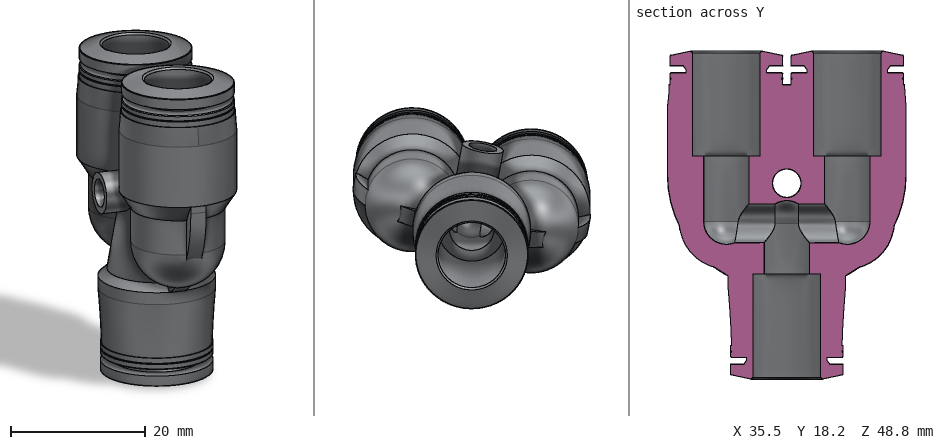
import cadquery as cq
import math

overall_height = 48.8
barrel_radius = 17.5 / 2
arm_offset = 9.0

button_radius = 16.8 / 2
neck_radius = 12.0 / 2
neck_flare = 0.45
bore_radius = 10.0 / 2
bore_chamfer = 0.3
button_crown = 0.65
button_edge = 0.1
button_depth = 2.25
flare_depth = 2.85
cap_depth = 3.2
cap_chamfer = 0.15
cap_groove_depth = 4.05
cap_groove_width = 0.15
cap_groove_cut = 0.15
cap_end_depth = 5.05
tube_stop_depth = 15.6

arm_barrel_mouth_radius = 8.55
arm_taper_end_z = 40.8
arm_shoulder_z = 31.4
arm_lower_top_z = 28.75
arm_lower_radius = 7.05
arm_dome_z = 23.4

lower_barrel_mouth_radius = 8.25
lower_barrel_middle_radius = 8.45
lower_taper_end_z = 13.5
lower_shoulder_z = 15.35
cone_base_z = 16.5
cone_base_radius = 7.4
cone_top_radius = 5.25

boss_z = 29.15
boss_radius = 6.2 / 2
boss_hole_radius = 4.2 / 2
boss_length = 18.2

web_thickness = 2.45
web_bend_z = 30.35

passage_radius = 6.7 / 2
cross_passage_radius = 5.7 / 2
cross_passage_z = 23.2


def revolve_z(profile):
    """Turn a closed (radius, z) outline a full turn about the Z axis."""
    return profile.close().revolve(360, (0, 0, 0), (0, 1, 0))


def port_end():
    """Button, neck and cap of a port whose mouth lies at z = 0 and opens downward."""
    groove_end = cap_groove_depth + cap_groove_width
    groove_radius = button_radius - cap_groove_cut
    outline = cq.Workplane("XZ").polyline([
        (0, 0),
        (bore_radius + bore_chamfer, 0),
        (button_radius - button_edge, button_crown),
        (button_radius, button_crown + button_edge),
        (button_radius, button_depth),
        (neck_radius + neck_flare, button_depth),
        (neck_radius, flare_depth),
        (neck_radius, cap_depth),
        (button_radius - cap_chamfer, cap_depth),
        (button_radius, cap_depth + cap_chamfer),
        (button_radius, cap_groove_depth),
        (groove_radius, cap_groove_depth),
        (groove_radius, groove_end),
        (button_radius, groove_end),
        (button_radius, cap_end_depth),
        (0, cap_end_depth),
    ])
    return revolve_z(outline)


def port_cavity(dome_centre_depth):
    """Tube socket and round-ended passage of a port whose mouth lies at z = 0."""
    outline = (
        cq.Workplane("XZ")
        .moveTo(0, 0)
        .lineTo(bore_radius + bore_chamfer, 0)
        .lineTo(bore_radius, bore_chamfer)
        .lineTo(bore_radius, tube_stop_depth)
        .lineTo(passage_radius, tube_stop_depth)
        .lineTo(passage_radius, dome_centre_depth)
        .threePointArc(
            (passage_radius * math.sqrt(0.5), dome_centre_depth + passage_radius * math.sqrt(0.5)),
            (0, dome_centre_depth + passage_radius),
        )
    )
    return revolve_z(outline)


def place_on_arm(shape, side):
    """Turn a downward port shape to face up and move it to the mouth of one arm."""
    flipped = shape.rotate((0, 0, 0), (1, 0, 0), 180)
    return flipped.translate((side * arm_offset, 0, overall_height))


def arm_body(side):
    """Tapered barrel, shoulder and domed lower end of one upper arm."""
    barrel_top_z = overall_height - cap_end_depth
    dome_reach = arm_lower_radius * math.sqrt(0.5)
    outline = (
        cq.Workplane("XZ")
        .moveTo(0, barrel_top_z)
        .lineTo(arm_barrel_mouth_radius, barrel_top_z)
        .lineTo(barrel_radius, arm_taper_end_z)
        .lineTo(barrel_radius, arm_shoulder_z)
        .lineTo(arm_lower_radius, arm_lower_top_z)
        .lineTo(arm_lower_radius, arm_dome_z)
        .threePointArc((dome_reach, arm_dome_z - dome_reach), (0, arm_dome_z - arm_lower_radius))
    )
    return revolve_z(outline).translate((side * arm_offset, 0, 0))


def lower_body():
    """Flared lower barrel, its shoulder and the cone that rises to the boss."""
    middle_z = (cap_end_depth + lower_taper_end_z) / 2
    outline = (
        cq.Workplane("XZ")
        .moveTo(0, cap_end_depth)
        .lineTo(lower_barrel_mouth_radius, cap_end_depth)
        .threePointArc((lower_barrel_middle_radius, middle_z), (barrel_radius, lower_taper_end_z))
        .lineTo(barrel_radius, lower_shoulder_z)
        .lineTo(cone_base_radius, cone_base_z)
        .lineTo(cone_top_radius, boss_z)
        .lineTo(0, boss_z)
    )
    return revolve_z(outline)


def web():
    """Flat plate joining the arms and the lower barrel, with an arc down each side."""
    side_x = arm_offset + barrel_radius
    foot_x = barrel_radius
    drop = web_bend_z - lower_shoulder_z
    inset = side_x - foot_x
    arc_radius = (inset ** 2 + drop ** 2) / (2 * inset)
    half_sweep = math.asin(drop / arc_radius) / 2
    middle_x = side_x - arc_radius * (1 - math.cos(half_sweep))
    middle_z = web_bend_z - arc_radius * math.sin(half_sweep)
    lower_plate = (
        cq.Workplane("XZ")
        .moveTo(-foot_x, lower_shoulder_z)
        .lineTo(foot_x, lower_shoulder_z)
        .threePointArc((middle_x, middle_z), (side_x, web_bend_z))
        .lineTo(side_x, arm_shoulder_z)
        .lineTo(-side_x, arm_shoulder_z)
        .lineTo(-side_x, web_bend_z)
        .threePointArc((-middle_x, middle_z), (-foot_x, lower_shoulder_z))
        .close()
        .extrude(web_thickness / 2, both=True)
    )
    upper_height = overall_height - cap_end_depth - arm_shoulder_z
    upper_plate = (
        cq.Workplane("XY", origin=(0, 0, arm_shoulder_z))
        .rect(2 * arm_offset, web_thickness)
        .extrude(upper_height)
    )
    return lower_plate.union(upper_plate)


def boss_cylinder(radius):
    """Cylinder along Y, centred on the boss axis."""
    return cq.Workplane("XZ", origin=(0, 0, boss_z)).circle(radius).extrude(boss_length / 2, both=True)


def cross_passage():
    """Level passage along X that links the two arms with the lower port."""
    return (
        cq.Workplane("YZ", origin=(0, 0, cross_passage_z))
        .circle(cross_passage_radius)
        .extrude(arm_offset, both=True)
    )


sides = (-1, 1)

body = lower_body().union(port_end()).union(web()).union(boss_cylinder(boss_radius))
for side in sides:
    body = body.union(arm_body(side)).union(place_on_arm(port_end(), side))

body = body.cut(port_cavity(cross_passage_z)).cut(cross_passage())
for side in sides:
    body = body.cut(place_on_arm(port_cavity(overall_height - arm_dome_z), side))
body = body.cut(boss_cylinder(boss_hole_radius))

result = body